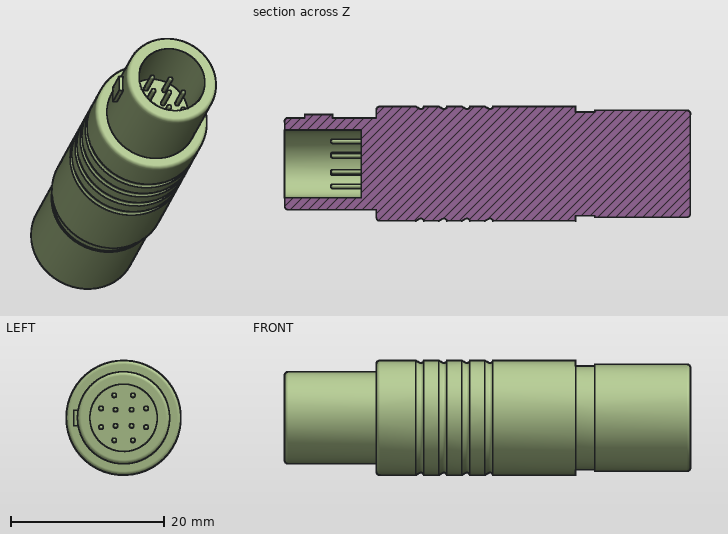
import cadquery as cq
import math

TOTAL_LENGTH = 53.0
NOSE_DIAMETER = 12.05
NOSE_LENGTH = 12.0
SHELL_DIAMETER = 15.0
SHELL_END = 38.0
NECK_DIAMETER = 13.55
NECK_END = 40.5
TAIL_DIAMETER = 14.0
EDGE_RADIUS = 0.5

GROOVE_COUNT = 4
FIRST_GROOVE_START = 17.1
LAST_GROOVE_START = 26.15
GROOVE_PITCH = (LAST_GROOVE_START - FIRST_GROOVE_START) / (GROOVE_COUNT - 1)
GROOVE_WIDTH = 1.05
GROOVE_CONE_LENGTH = 0.55
GROOVE_CONE_DEPTH = 0.29

BORE_DIAMETER = 8.8
BORE_DEPTH = 10.0
PIN_DIAMETER = 0.6
PIN_LENGTH = 4.0
INNER_PIN_COUNT = 4
INNER_PIN_CIRCLE_RADIUS = 1.5
OUTER_PIN_COUNT = 8
OUTER_PIN_CIRCLE_RADIUS = 3.2

KEY_START = 2.65
KEY_LENGTH = 3.65
KEY_WIDTH = 2.0
KEY_TOP = 6.45


def cylinder(start, end, diameter):
    """Solid cylinder on the X axis between two X positions."""
    return cq.Workplane("YZ", origin=(start, 0, 0)).circle(diameter / 2).extrude(end - start)


def make_body():
    nose = cylinder(0, NOSE_LENGTH, NOSE_DIAMETER).faces("<X").edges().fillet(EDGE_RADIUS)
    shell = cylinder(NOSE_LENGTH, SHELL_END, SHELL_DIAMETER).faces("<X").edges().fillet(EDGE_RADIUS)
    neck = cylinder(SHELL_END, NECK_END, NECK_DIAMETER)
    tail = cylinder(NECK_END, TOTAL_LENGTH, TAIL_DIAMETER).faces(">X").edges().fillet(EDGE_RADIUS)
    return nose.union(shell).union(neck).union(tail)


def make_groove(start):
    """Ring whose section is a cone sloping inward, then a tangent arc rising steeply to the surface."""
    radius = SHELL_DIAMETER / 2
    return (
        cq.Workplane("XY")
        .moveTo(start, radius)
        .lineTo(start + GROOVE_CONE_LENGTH, radius - GROOVE_CONE_DEPTH)
        .tangentArcPoint((start + GROOVE_WIDTH, radius), relative=False)
        .close()
        .revolve(360, (0, 0, 0), (1, 0, 0))
    )


def make_key():
    """Block that starts inside the nose wall and stands proud of it."""
    root = (BORE_DIAMETER + NOSE_DIAMETER) / 4
    block = cq.Workplane("XY").box(KEY_LENGTH, KEY_TOP - root, KEY_WIDTH, centered=(False, False, True))
    return block.translate((KEY_START, root, 0))


def make_pin_ring(count, circle_radius):
    """Ring of dome-tipped pins standing on the bore floor, none of them on the Y or Z axis."""
    tip_center = BORE_DEPTH - PIN_LENGTH + PIN_DIAMETER / 2
    shank = cylinder(tip_center, BORE_DEPTH, PIN_DIAMETER)
    dome = cq.Workplane("XY").sphere(PIN_DIAMETER / 2).translate((tip_center, 0, 0))
    pin = shank.union(dome)
    ring = cq.Workplane("XY")
    for index in range(count):
        angle = 2 * math.pi * (index + 0.5) / count
        ring = ring.add(pin.translate((0, circle_radius * math.cos(angle), circle_radius * math.sin(angle))))
    return ring.combine()


result = make_body()
for index in range(GROOVE_COUNT):
    result = result.cut(make_groove(FIRST_GROOVE_START + index * GROOVE_PITCH))
result = result.union(make_key())
result = result.cut(cylinder(0, BORE_DEPTH, BORE_DIAMETER))
result = result.union(make_pin_ring(INNER_PIN_COUNT, INNER_PIN_CIRCLE_RADIUS))
result = result.union(make_pin_ring(OUTER_PIN_COUNT, OUTER_PIN_CIRCLE_RADIUS))